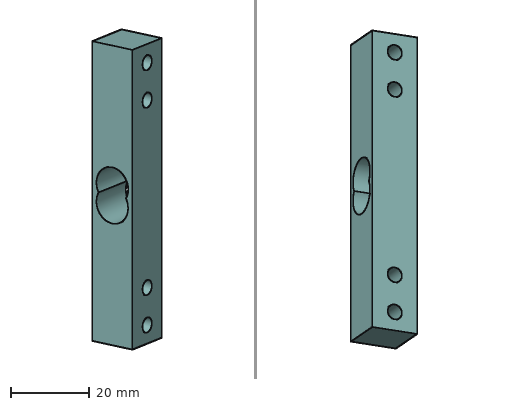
import cadquery as cq

length = 80.0
width = 12.7

bore_diameter = 10.0
bore_spacing = bore_diameter / 2

hole_diameter = 4.0
hole_pitch = 10.0
end_distance = hole_pitch / 2

outer_hole_z = length / 2 - end_distance
inner_hole_z = outer_hole_z - hole_pitch


def through_holes(plane, diameter, heights):
    """Cylinders crossing the whole bar, normal to the plane, at the given Z heights."""
    centres = [(0, z) for z in heights]
    holes = cq.Workplane(plane).pushPoints(centres).circle(diameter / 2)
    return holes.extrude(width, both=True)


bar = cq.Workplane("XY").box(width, width, length)
central_bores = through_holes("XZ", bore_diameter, [-bore_spacing / 2, bore_spacing / 2])
mounting_holes = through_holes(
    "YZ", hole_diameter, [-outer_hole_z, -inner_hole_z, inner_hole_z, outer_hole_z]
)

result = bar.cut(central_bores).cut(mounting_holes)